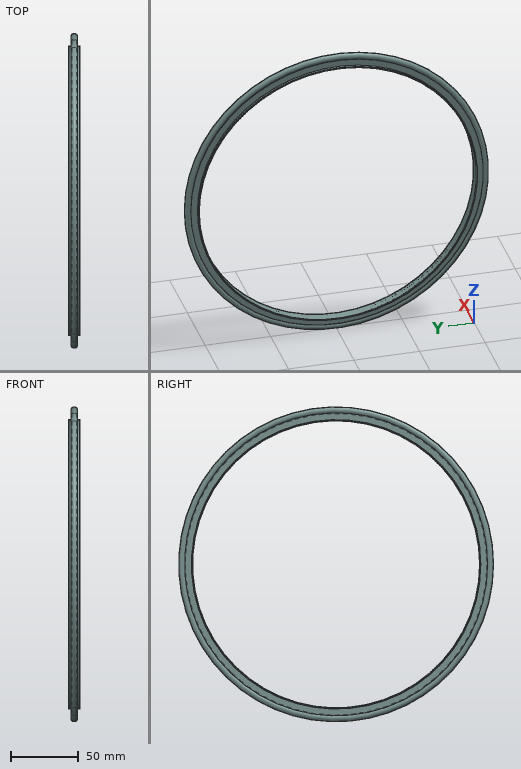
import cadquery as cq

outer_diameter = 231.7
seal_inner_diameter = 221.8
seal_section_diameter = (outer_diameter - seal_inner_diameter) / 2
seal_center_radius = (outer_diameter + seal_inner_diameter) / 4

bore_diameter = 211.0
sleeve_diameter = 213.0
sleeve_width = 8.0
web_diameter = 223.0
web_width = 4.0


def make_seal():
    """O-ring of round section."""
    return (
        cq.Workplane("XY")
        .center(0, seal_center_radius)
        .circle(seal_section_diameter / 2)
        .revolve(360, (0, -seal_center_radius), (1, -seal_center_radius))
    )


def make_carrier(seal):
    """Sleeve and web in one section, with a round groove in the rim that seats the seal."""
    bore_radius = bore_diameter / 2
    sleeve_radius = sleeve_diameter / 2
    web_radius = web_diameter / 2
    blank = (
        cq.Workplane("XY")
        .moveTo(-sleeve_width / 2, bore_radius)
        .lineTo(sleeve_width / 2, bore_radius)
        .lineTo(sleeve_width / 2, sleeve_radius)
        .lineTo(web_width / 2, sleeve_radius)
        .lineTo(web_width / 2, web_radius)
        .lineTo(-web_width / 2, web_radius)
        .lineTo(-web_width / 2, sleeve_radius)
        .lineTo(-sleeve_width / 2, sleeve_radius)
        .close()
        .revolve(360, (0, 0), (1, 0))
    )
    return blank.cut(seal)


seal_ring = make_seal()
carrier_ring = make_carrier(seal_ring)

result = cq.Compound.makeCompound([carrier_ring.solids().val(), seal_ring.solids().val()])